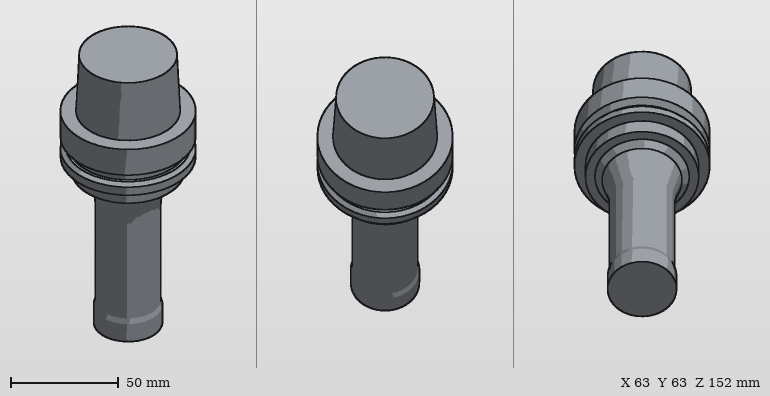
import cadquery as cq

taper_top_diameter = 45.6
taper_base_diameter = 48.5
flange_diameter = 63.0
groove_diameter = 55.0
collar_diameter = 52.6
cone_top_diameter = 43.8
cone_bottom_diameter = 37.1
flare_middle_diameter = 32.4
shank_diameter = 30.5
tip_diameter = 32.0

tip_top = 10.0
shank_bottom = 12.8
shank_top = 66.7
flare_middle = 74.6
cone_bottom = 83.3
collar_bottom = 86.0
flange_bottom = 94.2
lower_rim_top = 98.8
groove_bottom = 100.2
groove_top = 103.8
upper_rim_bottom = 105.6
flange_top = 120.2
total_height = 152.0

lower_bevel_width = 2.5
upper_bevel_width = 3.3

flange_radius = flange_diameter / 2
groove_radius = groove_diameter / 2
collar_radius = collar_diameter / 2
shank_radius = shank_diameter / 2
tip_radius = tip_diameter / 2

profile = (
    cq.Workplane("XZ")
    .lineTo(tip_radius, 0)
    .lineTo(tip_radius, tip_top)
    .lineTo(shank_radius, shank_bottom)
    .lineTo(shank_radius, shank_top)
    .tangentArcPoint((flare_middle_diameter / 2, flare_middle), relative=False)
    .tangentArcPoint((cone_bottom_diameter / 2, cone_bottom), relative=False)
    .lineTo(cone_top_diameter / 2, collar_bottom)
    .lineTo(collar_radius, collar_bottom)
    .lineTo(collar_radius, flange_bottom)
    .lineTo(flange_radius, flange_bottom)
    .lineTo(flange_radius, lower_rim_top)
    .lineTo(flange_radius - lower_bevel_width, groove_bottom)
    .lineTo(groove_radius, groove_bottom)
    .lineTo(groove_radius, groove_top)
    .lineTo(flange_radius - upper_bevel_width, groove_top)
    .lineTo(flange_radius, upper_rim_bottom)
    .lineTo(flange_radius, flange_top)
    .lineTo(taper_base_diameter / 2, flange_top)
    .lineTo(taper_top_diameter / 2, total_height)
    .lineTo(0, total_height)
    .close()
)

result = profile.revolve(360, (0, 0, 0), (0, 1, 0))